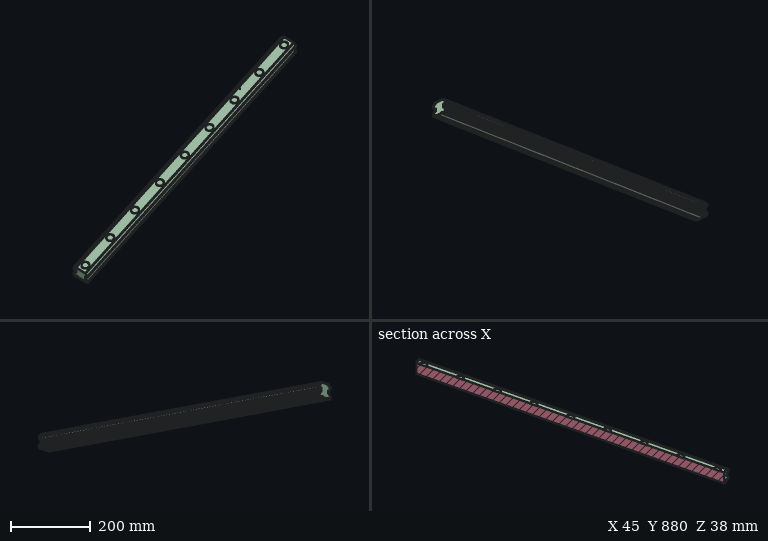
import cadquery as cq

length = 880.0
width = 45.0
height = 38.0
half_width = width / 2

crown_half_width = 15.0
crown_wall_bottom = 36.0

shoulder_half_width = 19.0
shoulder_height = 33.0
head_side_top = 31.0
head_side_bottom = 28.0
flank_half_width = 19.0
flank_bottom = 23.0
track_hollow = 0.4

overhang_inner_half_width = 16.0
overhang_inner_height = 22.0
waist_half_width = 14.0
waist_top = 20.0
waist_bottom = 16.0

foot_side_top = waist_bottom - (half_width - waist_half_width)
foot_chamfer = 3.0

relief_center = 11.0
relief_width = 4.0
relief_depth = 2.0

seat_count = 9
first_seat_from_end = 20.0
seat_pitch = (length - 2 * first_seat_from_end) / (seat_count - 1)
seat_diameter = 20.0
seat_depth = 1.0


def make_half_rail():
    """Extrude the +X half of the cross section along the full length."""
    section = (
        cq.Workplane("XZ")
        .lineTo(half_width - foot_chamfer, 0)
        .lineTo(half_width, foot_chamfer)
        .lineTo(half_width, foot_side_top)
        .lineTo(waist_half_width, waist_bottom)
        .lineTo(waist_half_width, waist_top)
        .lineTo(overhang_inner_half_width, overhang_inner_height)
        .lineTo(flank_half_width, flank_bottom)
        .sagittaArc((half_width, head_side_bottom), track_hollow)
        .lineTo(half_width, head_side_top)
        .lineTo(shoulder_half_width, shoulder_height)
        .sagittaArc((crown_half_width, crown_wall_bottom), track_hollow)
        .lineTo(crown_half_width, height)
        .lineTo(0, height)
        .close()
    )
    return section.extrude(length / 2, both=True)


def make_rail():
    """Mirror the half rail to complete the symmetric bar."""
    half_rail = make_half_rail()
    return half_rail.union(half_rail.mirror("YZ")).clean()


def make_relief_grooves():
    """Two shallow rectangular grooves along the underside."""
    return (
        cq.Workplane("XY")
        .pushPoints([(-relief_center, 0), (relief_center, 0)])
        .rect(relief_width, length)
        .extrude(relief_depth)
    )


def make_seats():
    """Evenly spaced discs that sink the round seats into the top face."""
    first_y = -length / 2 + first_seat_from_end
    centers = [(0, first_y + i * seat_pitch) for i in range(seat_count)]
    return (
        cq.Workplane("XY", origin=(0, 0, height - seat_depth))
        .pushPoints(centers)
        .circle(seat_diameter / 2)
        .extrude(seat_depth)
    )


result = make_rail().cut(make_relief_grooves()).cut(make_seats())